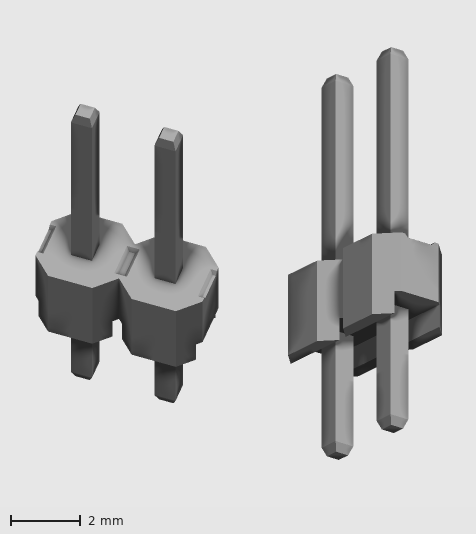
import cadquery as cq

total_height = 11.7
pitch = 2.54
way_count = 2

body_height = 2.49
body_top = 5.5
body_bottom = body_top - body_height
corner_chamfer = 0.6
channel_width = 1.64
channel_height = 0.68

pin_width = 0.64
tip_width = 0.43
tip_height = 0.27

pocket_length = 1.08
pocket_width = 0.39
pocket_depth = 0.1
pocket_wall_run = 0.1

body_length = way_count * pitch
way_centers = [(i - (way_count - 1) / 2) * pitch for i in range(way_count)]
way_boundaries = [i * pitch - body_length / 2 for i in range(way_count + 1)]


def housing_way(x):
    """One octagonal block of the insulator."""
    return (
        cq.Workplane("XY")
        .box(pitch, pitch, body_height, centered=(True, True, False))
        .edges("|Z")
        .chamfer(corner_chamfer)
        .translate((x, 0, body_bottom))
    )


def bottom_channel():
    """Straight channel along X through the underside of the insulator."""
    return (
        cq.Workplane("XY")
        .box(body_length, channel_width, channel_height, centered=(True, True, False))
        .translate((0, 0, body_bottom))
    )


def top_pocket(x):
    """Tapered pocket centred on a boundary between ways or on an end face."""
    floor_width = pocket_width - 2 * pocket_wall_run
    floor_length = pocket_length - 2 * pocket_wall_run
    return (
        cq.Workplane("XY", origin=(x, 0, body_top - pocket_depth))
        .rect(floor_width, floor_length)
        .workplane(offset=pocket_depth)
        .rect(pocket_width, pocket_length)
        .loft(ruled=True)
    )


def pin_tip():
    """Bottom end of a pin, widening upward from z = 0."""
    return (
        cq.Workplane("XY")
        .rect(tip_width, tip_width)
        .workplane(offset=tip_height)
        .rect(pin_width, pin_width)
        .loft(ruled=True)
    )


def pin(x):
    """Full-height square pin with a tapered tip at each end."""
    shank_height = total_height - 2 * tip_height
    shank = (
        cq.Workplane("XY")
        .box(pin_width, pin_width, shank_height, centered=(True, True, False))
        .translate((0, 0, tip_height))
    )
    lower_tip = pin_tip()
    upper_tip = lower_tip.mirror("XY").translate((0, 0, total_height))
    return shank.union(lower_tip).union(upper_tip).translate((x, 0, 0))


result = housing_way(way_centers[0])
for center in way_centers[1:]:
    result = result.union(housing_way(center))
result = result.cut(bottom_channel())
for boundary in way_boundaries:
    result = result.cut(top_pocket(boundary))

for center in way_centers:
    result = result.union(pin(center))